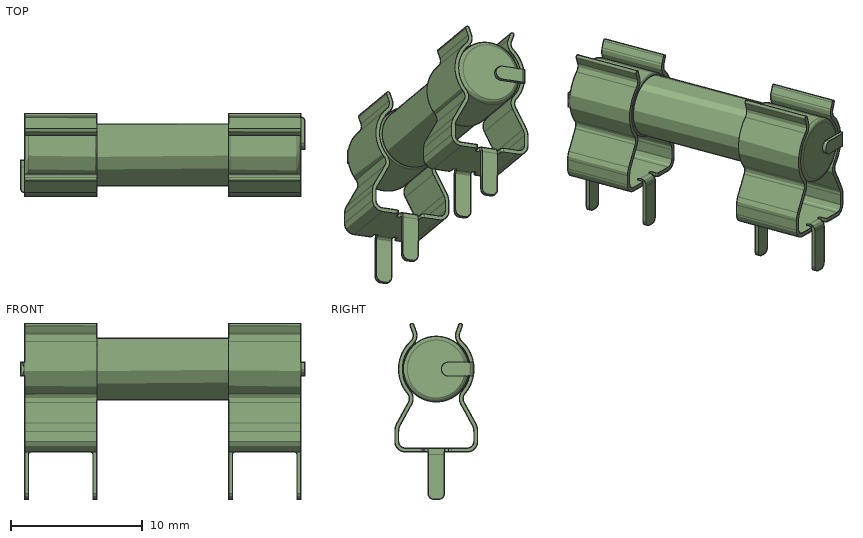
import cadquery as cq
import math


fuse_length = 21.0
fuse_axis_height = 6.3
cap_radius = 2.5
cap_length = 5.5
cap_end_rounding = 0.3
tube_radius = 2.35
cap_step_rounding = 0.1

sheet = 0.3
clip_length = 5.5
clip_width = 6.3
clip_top = 9.77
grip_clearance = 0.07

half_sheet = sheet / 2
wall_y = clip_width / 2 - half_sheet
corner_radius = 0.65
wall_top = 1.57
shoulder_radius = 1.15
pinch_radius = 0.75
grip_radius = cap_radius + grip_clearance + half_sheet
lower_pinch_y = 1.9
upper_pinch_y = 1.61
mouth_lean = 20.0

leg_width = 1.25
leg_bottom = -3.6
leg_corner_radius = 0.45
leg_bend_radius = 0.2
slot_width = 0.32
slot_straight = 0.5
slot_mouth_radius = 0.2

tab_width = 1.05
tab_tip_y = 0.39


def polar(center, radius, angle):
    """Point on a circle in the YZ plane; the angle is in degrees from +Y towards +Z."""
    turn = math.radians(angle)
    return (center[0] + radius * math.cos(turn), center[1] + radius * math.sin(turn))


def make_fuse():
    tube_length = fuse_length - cap_length
    fuse = cq.Workplane("YZ").circle(tube_radius).extrude(tube_length / 2, both=True)
    for side in (-1, 1):
        cap_center = side * (fuse_length - cap_length) / 2
        cap = cq.Workplane("YZ").circle(cap_radius).extrude(cap_length / 2, both=True)
        outer_face, inner_face = ("<X", ">X") if side < 0 else (">X", "<X")
        cap = cap.faces(outer_face).edges().fillet(cap_end_rounding)
        cap = cap.faces(inner_face).edges().fillet(cap_step_rounding)
        fuse = fuse.union(cap.translate((cap_center, 0, 0)))
    return fuse.translate((0, 0, fuse_axis_height))


def clip_half_path():
    """Middle line of one side of the clip, from the floor's centre up to the mouth."""
    corner = (wall_y - corner_radius, half_sheet + corner_radius)
    shoulder = (wall_y - shoulder_radius, wall_top)
    grip = (0, fuse_axis_height)

    reach = grip_radius + pinch_radius
    lower_drop = math.sqrt(reach**2 - (lower_pinch_y + pinch_radius) ** 2)
    upper_rise = math.sqrt(reach**2 - (upper_pinch_y + pinch_radius) ** 2)
    lower = (lower_pinch_y + pinch_radius, fuse_axis_height - lower_drop)
    upper = (upper_pinch_y + pinch_radius, fuse_axis_height + upper_rise)
    lower_angle = -math.degrees(math.asin(lower_drop / reach))
    upper_angle = math.degrees(math.asin(upper_rise / reach))

    dy = lower[0] - shoulder[0]
    dz = lower[1] - shoulder[1]
    cross = math.asin((shoulder_radius + pinch_radius) / math.hypot(dy, dz))
    slope = math.degrees(cross - math.atan2(dy, dz))

    mouth_start = polar(upper, pinch_radius, 180 - mouth_lean)
    tip_z = clip_top - half_sheet
    tip_y = mouth_start[0] + (tip_z - mouth_start[1]) * math.tan(math.radians(mouth_lean))

    return (
        cq.Workplane("YZ")
        .moveTo(0, half_sheet)
        .lineTo(corner[0], half_sheet)
        .threePointArc(polar(corner, corner_radius, -45), (wall_y, corner[1]))
        .lineTo(wall_y, wall_top)
        .threePointArc(
            polar(shoulder, shoulder_radius, slope / 2),
            polar(shoulder, shoulder_radius, slope),
        )
        .lineTo(*polar(lower, pinch_radius, 180 + slope))
        .threePointArc(
            polar(lower, pinch_radius, 180),
            polar(grip, grip_radius, lower_angle),
        )
        .threePointArc(
            polar(grip, grip_radius, 0),
            polar(grip, grip_radius, upper_angle),
        )
        .threePointArc(polar(upper, pinch_radius, 180), mouth_start)
        .lineTo(tip_y, tip_z)
    )


def make_leg():
    """Leg bent down from a floor edge at X = 0, with the floor on the +X side."""
    outer_bend = leg_bend_radius + sheet
    bend_z = -leg_bend_radius
    diagonal = math.sqrt(0.5)
    leg = (
        cq.Workplane("XZ")
        .moveTo(0, leg_bottom)
        .lineTo(0, bend_z)
        .threePointArc(
            (outer_bend * (1 - diagonal), bend_z + outer_bend * diagonal),
            (outer_bend, sheet),
        )
        .lineTo(outer_bend, 0)
        .threePointArc(
            (outer_bend - leg_bend_radius * diagonal, bend_z + leg_bend_radius * diagonal),
            (sheet, bend_z),
        )
        .lineTo(sheet, leg_bottom)
        .close()
        .extrude(leg_width / 2, both=True)
    )
    return leg.faces("<Z").edges("|X").fillet(leg_corner_radius)


def make_leg_relief():
    """Floor cut-out at X = 0: the bend's own area and a round-ended slot on each side of it."""
    bend_length = leg_bend_radius + sheet
    relief = cq.Workplane("XY").box(bend_length, leg_width, sheet, centered=(False, True, False))
    slot_inner = leg_width / 2
    slot_outer = slot_inner + slot_width
    mouth_sag = slot_mouth_radius * (1 - math.sqrt(0.5))
    for side in (-1, 1):
        slot = (
            cq.Workplane("XY")
            .moveTo(0, side * slot_inner)
            .lineTo(slot_straight, side * slot_inner)
            .threePointArc(
                (slot_straight + slot_width / 2, side * (slot_inner + slot_width / 2)),
                (slot_straight, side * slot_outer),
            )
            .lineTo(slot_mouth_radius, side * slot_outer)
            .threePointArc(
                (mouth_sag, side * (slot_outer + mouth_sag)),
                (0, side * (slot_outer + slot_mouth_radius)),
            )
            .close()
            .extrude(sheet)
        )
        relief = relief.union(slot)
    return relief


def make_stop_tab():
    """Tab bent in from the -Y grip wall across the end at X = 0."""
    wall_outside = grip_radius + half_sheet
    bend_sag = sheet * (1 - math.sqrt(0.5))
    bent_strip = (
        cq.Workplane("XY")
        .moveTo(0, -wall_outside)
        .threePointArc(
            (-sheet + bend_sag, -wall_outside + bend_sag),
            (-sheet, -wall_outside + sheet),
        )
        .lineTo(-sheet, -tab_tip_y)
        .lineTo(0, -tab_tip_y)
        .close()
        .extrude(tab_width / 2, both=True)
    )
    slot_length = 2 * (wall_outside - tab_tip_y)
    end_plane = cq.Workplane("YZ", origin=(-sheet, 0, 0))
    round_tip = end_plane.center(-wall_outside, 0).slot2D(slot_length, tab_width).extrude(sheet)
    grip_disc = end_plane.circle(wall_outside).extrude(sheet)
    tab = bent_strip.intersect(round_tip).intersect(grip_disc)
    return tab.translate((0, 0, fuse_axis_height))


def make_clip():
    """Clip with its stop-tab end at X = 0, reaching towards +X."""
    half = clip_half_path().offset2D(half_sheet).extrude(clip_length)
    clip = half.union(half.mirror("XZ"))
    relief = make_leg_relief()
    leg = make_leg()
    for turn in (0, 180):
        middle = (clip_length / 2, 0, 0)
        axis_end = (clip_length / 2, 0, 1)
        clip = clip.cut(relief.rotate(middle, axis_end, turn))
        clip = clip.union(leg.rotate(middle, axis_end, turn))
    return clip.union(make_stop_tab(), clean=False)


clip_at_minus_x = make_clip().translate((-fuse_length / 2, 0, 0))
clip = clip_at_minus_x.rotate((0, 0, 0), (0, 0, 1), 180)

fuse_with_clip = make_fuse().union(clip_at_minus_x, clean=False)

result = cq.Compound.makeCompound([fuse_with_clip.solids().val(), clip.solids().val()])